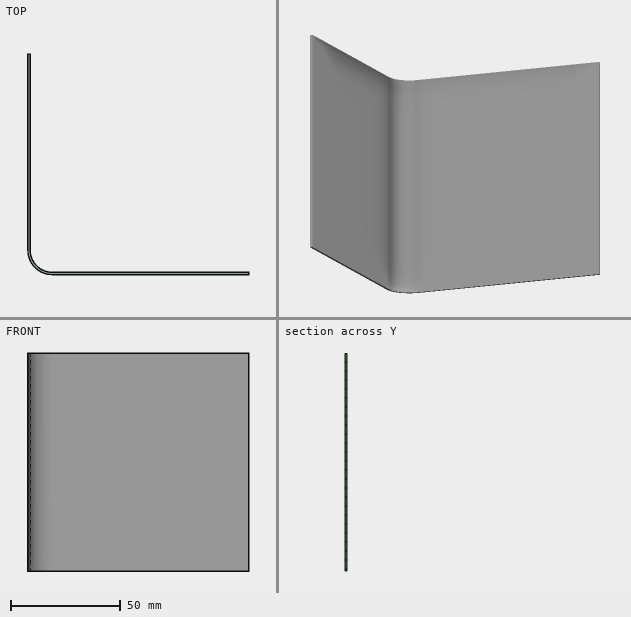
import cadquery as cq

sheet_thickness = 1.2
inside_leg = 100.0
inner_bend_radius = 10.0
height = 100.0

outer_leg = inside_leg + sheet_thickness
outer_bend_radius = inner_bend_radius + sheet_thickness


def make_angle_blank():
    """Sharp-cornered L profile, outer corner at the origin, extruded along Z."""
    outline = [
        (0, 0),
        (outer_leg, 0),
        (outer_leg, sheet_thickness),
        (sheet_thickness, sheet_thickness),
        (sheet_thickness, outer_leg),
        (0, outer_leg),
    ]
    return cq.Workplane("XY").polyline(outline).close().extrude(height)


def round_bend(blank):
    """Round both sides of the bend about one axis, keeping the sheet thickness constant."""
    inner_corner = cq.NearestToPointSelector((sheet_thickness, sheet_thickness, height / 2))
    outer_corner = cq.NearestToPointSelector((0, 0, height / 2))
    inner_rounded = blank.edges("|Z").edges(inner_corner).fillet(inner_bend_radius)
    return inner_rounded.edges("|Z").edges(outer_corner).fillet(outer_bend_radius)


result = round_bend(make_angle_blank())